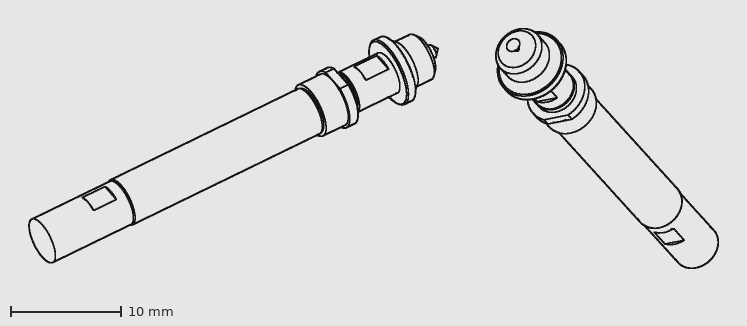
import cadquery as cq

LENGTH = 43.0

point_length = 0.6
point_radius = 0.65
point_base = 0.9
stem_radius = 0.2

head_front = 1.45
head_radius = 2.3
head_chamfer = 0.45
cone_front = 3.65
flange_front = 4.55
flange_back = 5.45
flange_diameter = 6.5
flange_radius = flange_diameter / 2
flange_ledge = 0.17
flange_chamfer = 0.15

neck_radius = 2.0
neck_groove_front = 9.85
neck_groove_back = 10.0
neck_groove_depth = 0.1
neck_flat_front = 6.0
neck_flat_height = 1.75

collar_front = 10.55
collar_back = 11.45
collar_radius = 2.85
sleeve_back = 13.85
sleeve_radius = 2.6

barrel_radius = 2.3
barrel_back = 34.55
barrel_front_bevel = 0.2
barrel_back_bevel = 0.15
barrel_bevel_depth = 0.1

tail_radius = barrel_radius - barrel_bevel_depth
tail_flat_front = 35.55
tail_flat_height = 1.98

flat_length = 2.45


def turned_body():
    """Revolve the (radius, station) half profile about the Y axis."""
    profile = [
        (0, 0),
        (point_radius, point_length),
        (stem_radius, point_base),
        (stem_radius, head_front),
        (head_radius - head_chamfer, head_front),
        (head_radius, head_front + head_chamfer),
        (head_radius, cone_front),
        (flange_radius - flange_ledge, flange_front),
        (flange_radius, flange_front),
        (flange_radius, flange_back - flange_chamfer),
        (flange_radius - flange_chamfer, flange_back),
        (neck_radius, flange_back),
        (neck_radius, neck_groove_front),
        (neck_radius - neck_groove_depth, neck_groove_back),
        (neck_radius, neck_groove_back),
        (neck_radius, collar_front),
        (collar_radius, collar_front),
        (collar_radius, collar_back),
        (sleeve_radius, collar_back),
        (sleeve_radius, sleeve_back),
        (barrel_radius - barrel_bevel_depth, sleeve_back),
        (barrel_radius, sleeve_back + barrel_front_bevel),
        (barrel_radius, barrel_back - barrel_back_bevel),
        (tail_radius, barrel_back),
        (tail_radius, LENGTH),
        (0, LENGTH),
    ]
    points = [(radius, LENGTH / 2 - station) for radius, station in profile]
    return cq.Workplane("XY").polyline(points).close().revolve(360, (0, 0), (0, 1))


def cut_flats(body, front, length, height):
    """Cut a pair of flats at Z = +height and -height, running back from the front station."""
    width = flange_diameter
    depth = flange_radius
    middle_y = LENGTH / 2 - front - length / 2
    for side in (1, -1):
        middle_z = side * (height + depth / 2)
        cutter = cq.Workplane("XY").box(width, length, depth)
        body = body.cut(cutter.translate((0, middle_y, middle_z)))
    return body


result = turned_body()
result = cut_flats(result, neck_flat_front, flat_length, neck_flat_height)
result = cut_flats(result, collar_front, collar_back - collar_front, sleeve_radius)
result = cut_flats(result, tail_flat_front, flat_length, tail_flat_height)